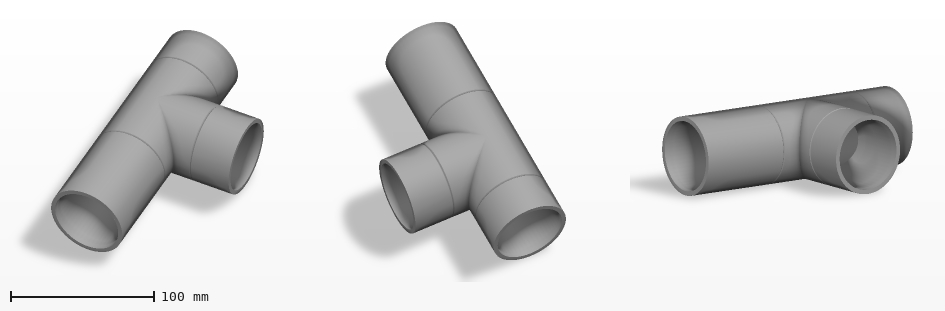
import cadquery as cq
import math

run_length = 175.0
outer_diameter = 56.0
bore_diameter = 49.7
overall_width = 98.7

branch_y = 17.5
branch_tilt = 1.5

groove_width = 1.4
groove_depth = 0.7
short_end_length = 29.8
long_end_length = 65.0
branch_groove_distance = 39.9

outer_radius = outer_diameter / 2
bore_radius = bore_diameter / 2
half_run = run_length / 2

tilt_angle = math.radians(branch_tilt)
branch_reach = overall_width - outer_radius
branch_length = (branch_reach - outer_radius * math.sin(tilt_angle)) / math.cos(tilt_angle)

run_plane = cq.Plane(origin=(0, -half_run, 0), xDir=(1, 0, 0), normal=(0, 1, 0))
branch_plane = cq.Plane(
    origin=(0, branch_y, 0),
    xDir=(0, 0, 1),
    normal=(math.cos(tilt_angle), math.sin(tilt_angle), 0),
)


def cylinder(plane, radius, length):
    """Solid cylinder from the plane origin along the plane normal."""
    return cq.Workplane(plane).circle(radius).extrude(length)


def groove_cutter(plane, distance):
    """V-section ring centred at a distance along the tube axis."""
    overlap = 0.4
    half_width = groove_width / 2
    profile = (
        cq.Workplane("XZ")
        .moveTo(outer_radius - groove_depth, distance)
        .lineTo(outer_radius, distance - half_width)
        .lineTo(outer_radius + overlap, distance - half_width)
        .lineTo(outer_radius + overlap, distance + half_width)
        .lineTo(outer_radius, distance + half_width)
        .close()
    )
    ring = profile.revolve(360, (0, 0, 0), (0, 1, 0))
    return cq.Workplane(obj=ring.val().moved(cq.Location(plane)))


run = cylinder(run_plane, outer_radius, run_length)
for groove_position in (long_end_length, run_length - short_end_length):
    run = run.cut(groove_cutter(run_plane, groove_position))

branch = cylinder(branch_plane, outer_radius, branch_length)
branch = branch.cut(groove_cutter(branch_plane, branch_groove_distance))

tee = run.union(branch)

run_bore = cylinder(run_plane, bore_radius, run_length)
branch_bore = cylinder(branch_plane, bore_radius, branch_length)
result = tee.cut(run_bore).cut(branch_bore)